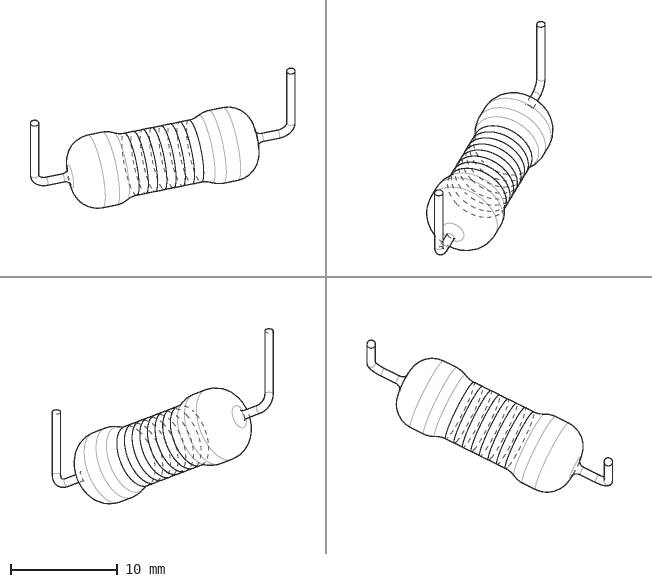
import cadquery as cq
import math

lead_diameter = 0.8
lead_pitch = 25.0
lead_top = 8.1
bend_radius = 1.2
root_fillet = 0.7

body_length = 18.0
cap_diameter = 7.0
core_diameter = 5.95
cap_straight_end = 5.2

band_diameter = 5.97
band_width = 0.9
band_count = 4

lead_radius = lead_diameter / 2
half_length = body_length / 2
half_pitch = lead_pitch / 2
cap_radius = cap_diameter / 2
core_radius = core_diameter / 2
root_radius = lead_radius + root_fillet
end_rounding = cap_radius - root_radius
core_half = (2 * band_count - 1) * band_width / 2
diagonal = math.sqrt(0.5)


def make_body_end():
    """Revolve the +Y end of the body, from the end of the core to the lead flare."""
    neck_length = cap_straight_end - core_half
    neck_drop = cap_radius - core_radius
    neck_arc_radius = (neck_length**2 + neck_drop**2) / (4 * neck_drop)
    half_sweep = math.asin(neck_length / 2 / neck_arc_radius) / 2
    arc_run = neck_arc_radius * math.sin(half_sweep)
    arc_rise = neck_arc_radius * (1 - math.cos(half_sweep))
    neck_middle = (core_radius + neck_drop / 2, core_half + neck_length / 2)

    end_start = half_length - end_rounding
    end_arc_middle = (
        root_radius + end_rounding * diagonal,
        end_start + end_rounding * diagonal,
    )
    flare_tip = half_length + root_fillet
    flare_middle = (
        root_radius - root_fillet * diagonal,
        flare_tip - root_fillet * diagonal,
    )

    profile = (
        cq.Workplane("XY")
        .moveTo(0, core_half)
        .lineTo(core_radius, core_half)
        .threePointArc((core_radius + arc_rise, core_half + arc_run), neck_middle)
        .threePointArc(
            (cap_radius - arc_rise, cap_straight_end - arc_run),
            (cap_radius, cap_straight_end),
        )
        .lineTo(cap_radius, end_start)
        .threePointArc(end_arc_middle, (root_radius, half_length))
        .threePointArc(flare_middle, (lead_radius, flare_tip))
        .lineTo(0, flare_tip)
        .close()
    )
    return profile.revolve(360, (0, 0, 0), (0, 1, 0))


def make_lead():
    """Sweep the +Y lead outward from the body and up through its bend."""
    lead_start = half_length + root_fillet
    bend_start = half_pitch - bend_radius
    bend_middle = (
        bend_start + bend_radius * diagonal,
        bend_radius * (1 - diagonal),
    )
    path = (
        cq.Workplane("YZ")
        .moveTo(lead_start, 0)
        .lineTo(bend_start, 0)
        .threePointArc(bend_middle, (half_pitch, bend_radius))
        .lineTo(half_pitch, lead_top)
    )
    section = cq.Workplane("XZ", origin=(0, lead_start, 0)).circle(lead_radius)
    return section.sweep(path)


def make_disc(diameter, center_y, width):
    """Make a disc on the body axis, centred at the given Y."""
    far_face = center_y + width / 2
    face = cq.Workplane("XZ", origin=(0, far_face, 0)).circle(diameter / 2)
    return face.extrude(width)


core = make_disc(core_diameter, 0, 2 * core_half)
end_and_lead = make_body_end().union(make_lead())
result = core.union(end_and_lead).union(end_and_lead.mirror("XZ"))

band_spacing = 2 * band_width
for index in range(band_count):
    band_y = (index - (band_count - 1) / 2) * band_spacing
    result = result.union(make_disc(band_diameter, band_y, band_width))